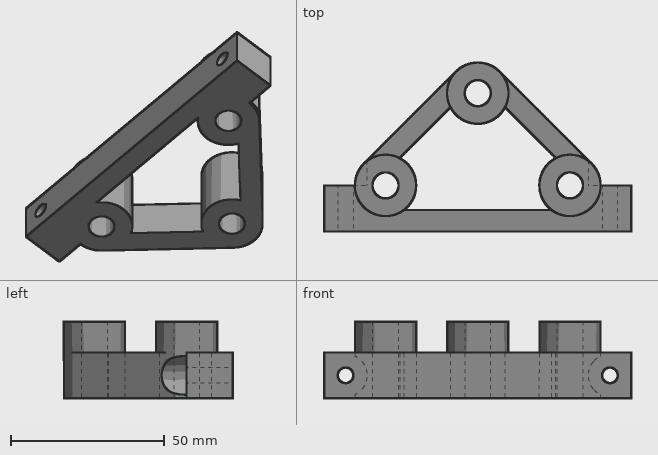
import cadquery as cq
import math

bar_length = 100.0
bar_depth = 15.0
bar_height = 15.0
bar_wall = 7.0

boss_diameter = 20.0
boss_height = 25.0
bore_diameter = 8.4
boss_inset = 20.0
apex_rise = 30.0
boss_radius = boss_diameter / 2
left_center = (boss_inset, bar_depth)
right_center = (bar_length - boss_inset, bar_depth)
apex_center = (bar_length / 2, bar_depth + apex_rise)
boss_centers = [left_center, right_center, apex_center]

arm_width = 7.0

screw_diameter = 5.0
screw_inset = 7.0
screw_height = bar_height / 2
head_diameter = 14.0
screw_positions = [screw_inset, bar_length - screw_inset]


def make_bar():
    bar = cq.Workplane("XY").box(bar_length, bar_depth, bar_height, centered=False)
    opening = cq.Workplane("XY").box(
        right_center[0] - left_center[0], bar_depth - bar_wall, bar_height, centered=False
    ).translate((left_center[0], bar_wall, 0))
    return bar.cut(opening)


def make_arm(start, end, outer_side):
    """Straight arm; outer_side is +1 when the outer face is left of start-to-end."""
    run = end[0] - start[0]
    rise = end[1] - start[1]
    length = math.hypot(run, rise)
    offset = outer_side * (boss_radius - arm_width / 2)
    arm = cq.Workplane("XY").box(length, arm_width, bar_height, centered=(False, True, False))
    arm = arm.translate((0, offset, 0))
    arm = arm.rotate((0, 0, 0), (0, 0, 1), math.degrees(math.atan2(rise, run)))
    return arm.translate((start[0], start[1], 0))


def drill_along_y(diameter, start_y, length):
    """Cylinders along Y at both screw positions."""
    points = [(x, screw_height) for x in screw_positions]
    plane = cq.Workplane("XZ", origin=(0, start_y, 0))
    return plane.pushPoints(points).circle(diameter / 2).extrude(-length)


body = make_bar()
body = body.union(make_arm(left_center, apex_center, 1))
body = body.union(make_arm(right_center, apex_center, -1))
body = body.union(cq.Workplane("XY").pushPoints(boss_centers).circle(boss_radius).extrude(boss_height))

bores = cq.Workplane("XY").pushPoints(boss_centers).circle(bore_diameter / 2).extrude(boss_height)
screw_holes = drill_along_y(screw_diameter, 0, bar_depth)
head_clearance = drill_along_y(head_diameter, bar_depth, boss_radius)

result = body.cut(bores).cut(screw_holes).cut(head_clearance)